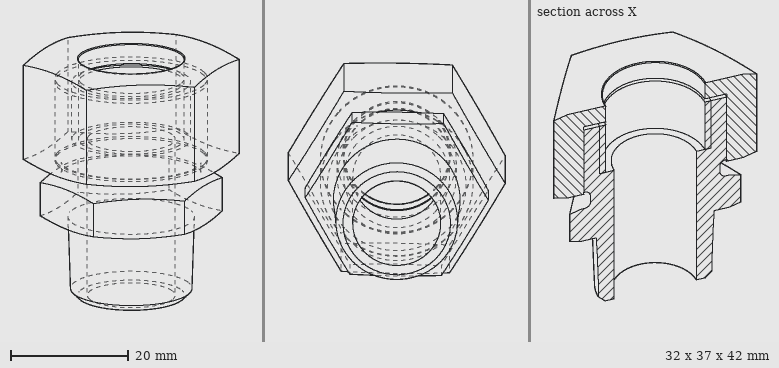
import cadquery as cq
import math

overall_height = 42.0
stud_length = 14.0
body_hex_top = 21.0
nut_bottom = 24.0
tube_stop_level = 27.7

nut_flats = 32.0
body_hex_flats = 27.0
hex_chamfer_angle = 15.0

stud_tip_diameter = 20.75
stud_root_diameter = 21.6
stud_chamfer = 1.2

groove_diameter = 23.7
groove_fillet = 1.0
groove_floor_length = 1.35
collar_diameter = 26.0

passage_diameter = 15.0
tube_diameter = 18.0
ring_outer_diameter = 20.3
nut_lip_length = 3.53
nut_mouth_chamfer = 0.15
ring_gap = 0.6

nut_lip_level = overall_height - nut_lip_length
ring_top = nut_lip_level - ring_gap
groove_floor_bottom = body_hex_top + groove_fillet
groove_floor_top = groove_floor_bottom + groove_floor_length
collar_bottom = groove_floor_top + groove_fillet


def cylinder(diameter, bottom, top):
    return cq.Workplane("XY").workplane(offset=bottom).circle(diameter / 2).extrude(top - bottom)


def chamfered_hexagon(flats, bottom, top):
    """Hexagonal prism with corners on the Y axis, cut by a shallow cone at both ends."""
    corner_radius = flats / math.sqrt(3)
    drop = (corner_radius - flats / 2) * math.tan(math.radians(hex_chamfer_angle))
    prism = (
        cq.Workplane("XY")
        .workplane(offset=bottom)
        .polygon(6, 2 * corner_radius)
        .extrude(top - bottom)
        .rotate((0, 0, 0), (0, 0, 1), 90)
    )
    envelope = (
        cq.Workplane("XZ")
        .moveTo(0, bottom)
        .lineTo(flats / 2, bottom)
        .lineTo(corner_radius, bottom + drop)
        .lineTo(corner_radius, top - drop)
        .lineTo(flats / 2, top)
        .lineTo(0, top)
        .close()
        .revolve(360, (0, 0, 0), (0, 1, 0))
    )
    return prism.intersect(envelope)


def make_body():
    """Fitting body: tapered stud, hexagon, relief groove and collar, bored through."""
    tip_radius = stud_tip_diameter / 2
    groove_radius = groove_diameter / 2
    shoulder_radius = groove_radius + groove_fillet
    arc_offset = groove_fillet * (1 - math.sqrt(0.5))
    turned = (
        cq.Workplane("XZ")
        .lineTo(tip_radius - stud_chamfer, 0)
        .lineTo(tip_radius, stud_chamfer)
        .lineTo(stud_root_diameter / 2, stud_length)
        .lineTo(shoulder_radius, stud_length)
        .lineTo(shoulder_radius, body_hex_top)
        .threePointArc(
            (groove_radius + arc_offset, body_hex_top + arc_offset),
            (groove_radius, groove_floor_bottom),
        )
        .lineTo(groove_radius, groove_floor_top)
        .threePointArc(
            (groove_radius + arc_offset, collar_bottom - arc_offset),
            (shoulder_radius, collar_bottom),
        )
        .lineTo(collar_diameter / 2, collar_bottom)
        .lineTo(collar_diameter / 2, ring_top)
        .lineTo(0, ring_top)
        .close()
        .revolve(360, (0, 0, 0), (0, 1, 0))
    )
    outside = turned.union(chamfered_hexagon(body_hex_flats, stud_length, body_hex_top))
    passage = cylinder(passage_diameter, 0, ring_top)
    ring_seat = cylinder(ring_outer_diameter, tube_stop_level, ring_top)
    return outside.cut(passage).cut(ring_seat)


def make_nut():
    """Union nut: a wide bore over the collar, closed by a lip with a tube hole."""
    collar_bore = cylinder(collar_diameter, nut_bottom, nut_lip_level)
    tube_hole = cylinder(tube_diameter, nut_lip_level, overall_height)
    mouth_edge = cq.selectors.RadiusNthSelector(0)
    return (
        chamfered_hexagon(nut_flats, nut_bottom, overall_height)
        .cut(collar_bore)
        .cut(tube_hole)
        .faces(">Z")
        .edges(mouth_edge)
        .chamfer(nut_mouth_chamfer)
    )


def make_ring():
    """Sealing sleeve that stands on the tube stop inside the body."""
    sleeve = cylinder(ring_outer_diameter, tube_stop_level, ring_top)
    return sleeve.cut(cylinder(tube_diameter, tube_stop_level, ring_top))


body = make_body()
nut = make_nut()
ring = make_ring()

result = cq.Compound.makeCompound([body.solids().val(), nut.solids().val(), ring.solids().val()])